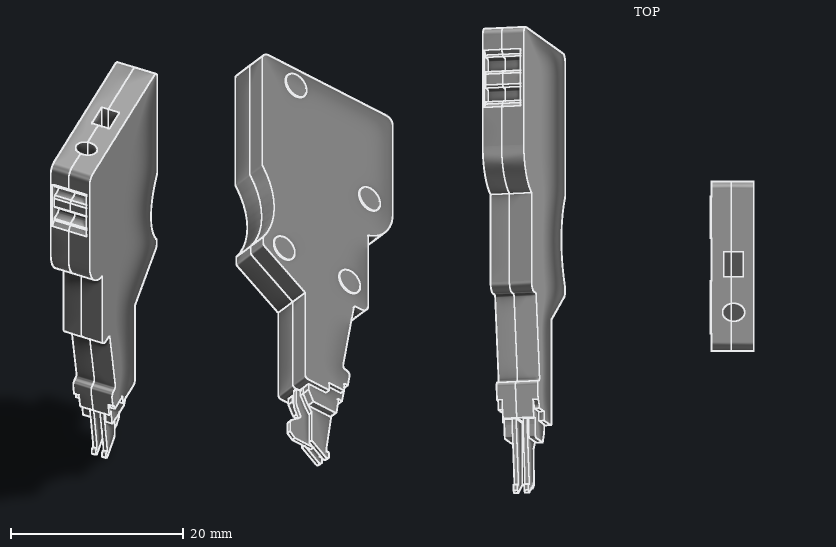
import cadquery as cq
import math

height = 53.6
width = 19.7
half_width = width / 2
left_x = -2.385
right_x = 2.545
split_x = -0.1
boss_height = 0.15
middle_x = (left_x + right_x) / 2

top_corner_radius = 1.0
grip_radius = 8.9
grip_z = 31.45
grip_bottom_y = 8.05
grip_center_y = grip_bottom_y + grip_radius
grip_blend_radius = 0.8
heel_y = 9.7
heel_bottom_z = 25.15
heel_radius = 0.55
shoulder_radius = 5.25
shoulder_top_z = 39.5
body_front_y = -6.15
body_bottom_z = 23.0
body_corner_radius = 1.1
stem_back_y = 3.4
stem_back_top_z = 21.2
stem_front_top_y = -4.0
stem_bottom_z = 8.65
stem_corner_radius = 0.3
stem_foot_radius = 0.5
latch_y = -2.3
latch_z = 12.95
latch_depth = 1.1
latch_drop = 0.19
latch_root_radius = 0.45
latch_tip_radius = 0.55
stem_slope = (latch_y - stem_front_top_y) / (body_bottom_z - latch_z)

boss_diameter = 3.1
boss_places = [(4.8, 51.1), (-6.25, 39.9), (6.6, 26.15), (-3.25, 26.15)]
port_x = 0.19
port_depth = 5.35
square_port_size = (2.25, 2.9)
square_port_y = 0.2
round_port_size = (2.55, 2.1)
round_port_y = -5.35

window_left_x = -2.17
window_right_x = 2.15
window_z = 47.5
window_half_height = 3.4
window_lip_half = 2.9
window_lip_depth = 0.55
window_floor_half = 2.6
window_floor_depth = 1.8
window_floor_radius = 0.4
rib_half = 0.95
rib_front_half = 0.65
rib_front_depth = 0.55
rib_edge_depth = 0.75

core_left_x = -1.75
core_right_x = 1.95
skin_cut_z = 9.7
skin_cut_y = -0.25
skin_notch_z = 10.8
skin_notch_y = -2.5
left_notch_radius = 0.15
right_notch_radius = skin_notch_z - skin_cut_z

contact_thickness = 0.5
contact_gap = 0.15
contact_left_x = -0.8
contact_pitch = contact_thickness + contact_gap
cheek_gap = 0.15
contact_right_x = contact_left_x + 2 * contact_pitch + contact_thickness
contact_front_y = -2.1
contact_slope_z = 7.95
contact_back_y = 2.35
cheek_bottom_z = 6.4
cheek_front_y = -1.9
cheek_back_y = 1.6
cheek_bend_z = 7.75
cheek_radius = 0.25
nub_root_y = -1.2
nub_root_z = 1.5
nub_tip_y = -1.55
nub_z = 1.0
nub_radius = 0.2


def plate(profile, x_start, x_end):
    """Extrude a closed YZ profile between two X positions."""
    return profile.extrude(x_end - x_start).translate((x_start, 0, 0))


def outline(points):
    return cq.Workplane("YZ").polyline(points).close()


def block(x_range, y_range, z_range):
    size = [high - low for low, high in (x_range, y_range, z_range)]
    return cq.Workplane("XY").box(*size, centered=False).translate((x_range[0], y_range[0], z_range[0]))


def round_corner(body, x, y, z, radius):
    """Fillet the edge along X whose middle is nearest to the given point."""
    corner = cq.selectors.NearestToPointSelector((x, y, z))
    return body.edges("|X").edges(corner).fillet(radius)


def housing_blank():
    grip_top_z = grip_z + math.sqrt(grip_radius**2 - (grip_center_y - half_width) ** 2)
    grip_end_z = grip_z - math.sqrt(grip_radius**2 - (grip_center_y - heel_y) ** 2)
    shoulder_center_y = -half_width + shoulder_radius
    shoulder_half_angle = math.acos((shoulder_center_y - body_front_y) / shoulder_radius) / 2
    shoulder_mid = (
        shoulder_center_y - shoulder_radius * math.cos(shoulder_half_angle),
        shoulder_top_z - shoulder_radius * math.sin(shoulder_half_angle),
    )
    shoulder_end_z = shoulder_top_z - shoulder_radius * math.sin(2 * shoulder_half_angle)
    latch_tip_y = latch_y - latch_depth
    latch_tip_z = latch_z - latch_drop
    stem_front_y = latch_tip_y + stem_slope * (latch_tip_z - stem_bottom_z)

    profile = (
        cq.Workplane("YZ")
        .moveTo(half_width, height)
        .lineTo(half_width, grip_top_z)
        .threePointArc((grip_bottom_y, grip_z), (heel_y, grip_end_z))
        .lineTo(heel_y, heel_bottom_z)
        .lineTo(stem_back_y, stem_back_top_z)
        .lineTo(stem_back_y, stem_bottom_z)
        .lineTo(stem_front_y, stem_bottom_z)
        .lineTo(latch_tip_y, latch_tip_z)
        .lineTo(latch_y, latch_z)
        .lineTo(stem_front_top_y, body_bottom_z)
        .lineTo(body_front_y, body_bottom_z)
        .lineTo(body_front_y, shoulder_end_z)
        .threePointArc(shoulder_mid, (-half_width, shoulder_top_z))
        .lineTo(-half_width, height)
        .close()
    )
    blank = plate(profile, left_x, right_x)
    rounded_corners = [
        (half_width, height, top_corner_radius),
        (-half_width, height, top_corner_radius),
        (half_width, grip_top_z, grip_blend_radius),
        (heel_y, heel_bottom_z, heel_radius),
        (stem_back_y, stem_bottom_z, stem_foot_radius),
        (latch_tip_y, latch_tip_z, latch_tip_radius),
        (latch_y, latch_z, latch_root_radius),
        (stem_front_top_y, body_bottom_z, stem_corner_radius),
        (body_front_y, body_bottom_z, body_corner_radius),
    ]
    for y, z, radius in rounded_corners:
        blank = round_corner(blank, middle_x, y, z, radius)
    return blank


def top_ports():
    floor = cq.Workplane("XY", origin=(port_x, 0, height - port_depth))
    square_port = floor.center(0, square_port_y).rect(*square_port_size).extrude(port_depth)
    round_length, round_width = round_port_size
    round_port = (
        floor.center(0, round_port_y).ellipse(round_length / 2, round_width / 2).extrude(port_depth)
    )
    return square_port.union(round_port)


def ribbed_window():
    """Window in the front edge, with sloped lips and one rib left across its middle."""
    upper_half = [
        (0, window_half_height),
        (window_lip_depth, window_lip_half),
        (window_lip_depth, window_floor_half),
        (window_floor_depth, window_floor_half),
        (window_floor_depth, rib_half),
        (rib_edge_depth, rib_half),
        (rib_front_depth, rib_front_half),
    ]
    lower_half = [(depth, -offset) for depth, offset in reversed(upper_half)]
    points = [(depth - half_width, window_z + offset) for depth, offset in upper_half + lower_half]
    window = plate(outline(points), window_left_x, window_right_x)
    window_x = (window_left_x + window_right_x) / 2
    floor_y = window_floor_depth - half_width
    for offset in (-window_floor_half, -rib_half, rib_half, window_floor_half):
        window = round_corner(window, window_x, floor_y, window_z + offset, window_floor_radius)
    return window


def skin_cut(x_start, x_end, notch_radius):
    """Stepped piece removed from one outer skin at the lower front of the stem."""
    beyond_y = -half_width
    low_cut = block((x_start, x_end), (beyond_y, skin_cut_y), (stem_bottom_z, skin_cut_z))
    notch = block((x_start, x_end), (beyond_y, skin_notch_y), (stem_bottom_z, skin_notch_z))
    notch = round_corner(notch, (x_start + x_end) / 2, skin_notch_y, skin_notch_z, notch_radius)
    return low_cut.union(notch)


def cheek(x_start, x_end):
    """Guard beside the contacts, hanging below the stem."""
    points = [
        (contact_front_y, stem_bottom_z),
        (contact_front_y, contact_slope_z),
        (cheek_front_y, cheek_bottom_z),
        (cheek_back_y, cheek_bottom_z),
        (contact_back_y, cheek_bend_z),
        (contact_back_y, stem_bottom_z),
    ]
    guard = plate(outline(points), x_start, x_end)
    return round_corner(guard, (x_start + x_end) / 2, cheek_front_y, cheek_bottom_z, cheek_radius)


def bosses():
    return (
        cq.Workplane("YZ", origin=(left_x, 0, 0))
        .pushPoints(boss_places)
        .circle(boss_diameter / 2)
        .extrude(-boss_height)
    )


def shell_half(x_start, x_end):
    """The part of the housing between two X positions, with its share of the openings."""
    slab = block((x_start, x_end), (-half_width, half_width), (0, height))
    return housing_blank().cut(top_ports()).cut(ribbed_window()).intersect(slab)


def make_left_shell():
    return (
        shell_half(left_x, split_x)
        .cut(skin_cut(left_x, core_left_x, left_notch_radius))
        .union(cheek(core_left_x, contact_left_x))
        .union(bosses())
    )


def make_right_shell():
    return (
        shell_half(split_x, right_x)
        .cut(skin_cut(core_right_x, right_x, right_notch_radius))
        .union(cheek(contact_right_x + cheek_gap, core_right_x))
    )


def make_fork_contact(x_start):
    """Outer contact: a tapering blade with a nub at its tip."""
    points = [
        (contact_front_y, stem_bottom_z),
        (contact_front_y, contact_slope_z),
        (nub_root_y, nub_root_z),
        (nub_root_y, nub_z),
        (nub_tip_y, nub_z),
        (nub_tip_y, 0.25),
        (-1.25, 0),
        (-0.95, 0.1),
        (1.05, 1.5),
        (1.05, 5.65),
        (cheek_back_y, cheek_bottom_z),
        (contact_back_y, cheek_bend_z),
        (contact_back_y, stem_bottom_z),
    ]
    contact = plate(outline(points), x_start, x_start + contact_thickness)
    return round_corner(contact, x_start + contact_thickness / 2, nub_tip_y, nub_z, nub_radius)


def make_hook_contact(x_start):
    """Middle contact: a set-back blade with a hooked foot."""
    front_y = 0.0
    foot_z = 1.25
    foot_radius = 0.5
    hook_y, hook_top_z = 3.8, 3.5
    neck_y, neck_z = 2.15, 4.75
    shank_y, shank_z = 2.85, 6.25
    points = [
        (front_y, stem_bottom_z),
        (front_y, foot_z),
        (3.05, foot_z),
        (hook_y, 1.9),
        (hook_y, hook_top_z),
        (neck_y, neck_z),
        (shank_y, shank_z),
        (shank_y, stem_bottom_z),
    ]
    contact = plate(outline(points), x_start, x_start + contact_thickness)
    contact_x = x_start + contact_thickness / 2
    rounded_corners = [
        (front_y, foot_z, foot_radius),
        (hook_y, hook_top_z, 0.7),
        (neck_y, neck_z, 0.3),
        (shank_y, shank_z, 1.05),
    ]
    for y, z, radius in rounded_corners:
        contact = round_corner(contact, contact_x, y, z, radius)
    return contact


left_shell = make_left_shell()
right_shell = make_right_shell()
hook_contact = make_hook_contact(contact_left_x + contact_pitch)
fork_contacts = [make_fork_contact(contact_left_x + step * contact_pitch) for step in (0, 2)]

result = cq.Compound.makeCompound(
    [
        left_shell.val(),
        right_shell.val(),
        hook_contact.val(),
        *[contact.val() for contact in fork_contacts],
    ]
)